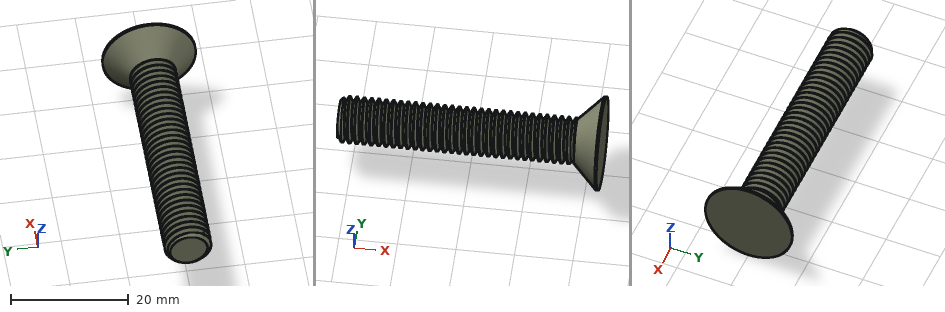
import cadquery as cq
import math

length = 45.0
head_diameter = 16.0
rim_thickness = 0.35
major_diameter = 8.0
minor_diameter = 6.4
turns_over_length = 36
first_crest = 1.0
flank_half_angle = math.radians(30)

head_radius = head_diameter / 2
major_radius = major_diameter / 2
minor_radius = minor_diameter / 2
thread_depth = major_radius - minor_radius
pitch = length / turns_over_length
crest_flat = pitch / 8

cone_end = length - rim_thickness
cone_start = cone_end - (head_radius - minor_radius)
shank_length = cone_start + 2 * thread_depth

lead_in_turns = 3
ridge_start = first_crest - lead_in_turns * pitch
ridge_turns = math.ceil((shank_length - ridge_start) / pitch) + 2
ridge_height = ridge_turns * pitch
root_overlap = 0.05


def make_ridge():
    """Right-handed 60 degree thread ridge around Z, starting on the +X side."""
    crest_half_width = crest_flat / 2
    base_radius = minor_radius - root_overlap
    base_half_width = crest_half_width + (major_radius - base_radius) * math.tan(flank_half_angle)
    helix = cq.Wire.makeHelix(pitch, ridge_height, minor_radius)
    profile = cq.Workplane("XZ").polyline([
        (base_radius, -base_half_width),
        (major_radius, -crest_half_width),
        (major_radius, crest_half_width),
        (base_radius, base_half_width),
    ]).close()
    ridge = profile.sweep(cq.Workplane(helix), isFrenet=True)
    return ridge.translate((0, 0, ridge_start))


def make_core():
    """Plain cylinder at the thread root, longer than the ridge at both ends."""
    core_start = ridge_start - pitch
    core = cq.Workplane("XY").circle(minor_radius).extrude(ridge_height + 2 * pitch)
    return core.translate((0, 0, core_start))


def make_envelope():
    """Shank outline with a 45 degree tip chamfer from the thread root past the crests."""
    envelope_radius = major_radius + thread_depth
    blank = cq.Workplane("XY").circle(envelope_radius).extrude(shank_length)
    return blank.faces("<Z").chamfer(envelope_radius - minor_radius)


def make_head():
    """Countersunk cone with a thin cylindrical rim, turned about X."""
    outline = cq.Workplane("XY").polyline([
        (cone_start, 0),
        (cone_start, minor_radius),
        (cone_end, head_radius),
        (length, head_radius),
        (length, 0),
    ]).close()
    return outline.revolve(360, (0, 0, 0), (1, 0, 0))


threaded_shank = make_core().union(make_ridge()).intersect(make_envelope())
result = threaded_shank.rotate((0, 0, 0), (0, 1, 0), 90).union(make_head())